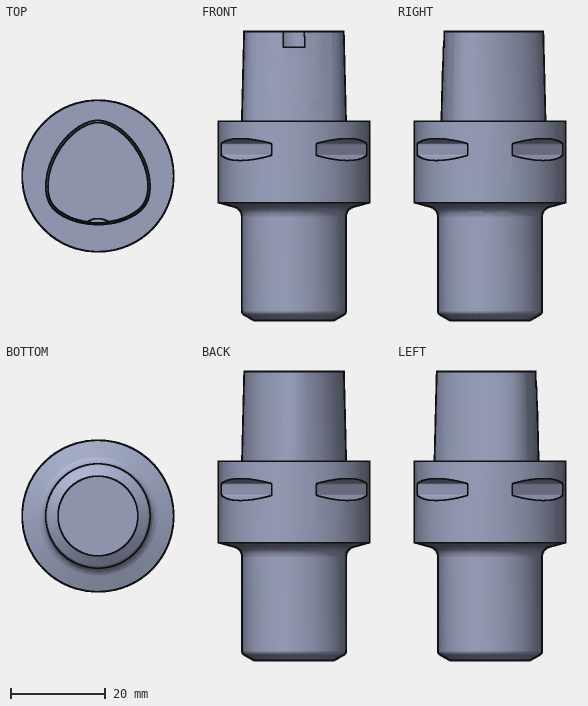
import cadquery as cq
import math

total_height = 61.0
flange_top = 42.1
flange_bottom = 24.9

flange_radius = 32.0 / 2
shank_radius = 22.0 / 2
neck_slope = 15.0
neck_fillet = 2.0
end_slope = 30.0
end_radius = 8.4
end_fillet = 1.0
edge_search_margin = 0.05

lobe_base_radius = shank_radius
taper_ratio = 20.0
lobe_height = 0.75
lobe_count = 3
lobe_half_angle = 24.0
points_per_stretch = 9

notch_height = 3.35
notch_radius = 3.85
notch_inner_y = -8.95

groove_count = 4
first_groove_angle = 45.0
groove_z = 36.08
groove_floor_distance = 14.15
groove_floor_height = 2.5
groove_fillet = 0.35
groove_wall_slope = 30.0


def make_body():
    neck_bottom = flange_bottom - (flange_radius - shank_radius) * math.tan(math.radians(neck_slope))
    end_cone_top = (shank_radius - end_radius) * math.tan(math.radians(end_slope))
    body = (
        cq.Workplane("XZ")
        .polyline([
            (0, 0),
            (end_radius, 0),
            (shank_radius, end_cone_top),
            (shank_radius, neck_bottom),
            (flange_radius, flange_bottom),
            (flange_radius, flange_top),
            (0, flange_top),
        ])
        .close()
        .revolve(360, (0, 0, 0), (0, 1, 0))
    )

    def circle_at(radius, height):
        return cq.selectors.BoxSelector(
            (-2 * radius, -2 * radius, height - edge_search_margin),
            (2 * radius, 2 * radius, height + edge_search_margin),
            boundingbox=True,
        )

    body = body.edges(circle_at(shank_radius, neck_bottom)).fillet(neck_fillet)
    return body.edges(circle_at(shank_radius, end_cone_top)).fillet(end_fillet)


def lobe_point(mean_radius, normal_angle, z):
    """Point of the constant-width curve whose outward normal has the given angle; one crest is on +Y."""
    phase = math.radians(lobe_count * (normal_angle - 90))
    support = mean_radius + lobe_height * math.cos(phase)
    support_rate = -lobe_count * lobe_height * math.sin(phase)
    angle = math.radians(normal_angle)
    return cq.Vector(
        support * math.cos(angle) - support_rate * math.sin(angle),
        support * math.sin(angle) + support_rate * math.cos(angle),
        z,
    )


def lobe_wire(mean_radius, z):
    def stretch(start, end):
        step = (end - start) / (points_per_stretch - 1)
        return cq.Edge.makeSpline(
            [lobe_point(mean_radius, start + i * step, z) for i in range(points_per_stretch)]
        )

    pitch = 360 / lobe_count
    edges = []
    for i in range(lobe_count):
        crest = 90 + i * pitch
        edges.append(stretch(crest - lobe_half_angle, crest + lobe_half_angle))
        edges.append(stretch(crest + lobe_half_angle, crest + pitch - lobe_half_angle))
    return cq.Wire.assembleEdges(edges)


def make_coupling():
    top_radius = lobe_base_radius - (total_height - flange_top) / taper_ratio / 2
    coupling = cq.Solid.makeLoft(
        [lobe_wire(lobe_base_radius, flange_top), lobe_wire(top_radius, total_height)], True
    )
    notch = (
        cq.Workplane("XY", origin=(0, notch_inner_y - notch_radius, total_height - notch_height))
        .circle(notch_radius)
        .extrude(notch_height)
    )
    return cq.Workplane(coupling).cut(notch)


def make_groove(angle):
    depth = flange_radius - groove_floor_distance
    floor_half = groove_floor_height / 2
    mouth_half = floor_half + depth * math.tan(math.radians(groove_wall_slope))
    return (
        cq.Workplane("XZ")
        .polyline([
            (groove_floor_distance, groove_z - floor_half),
            (flange_radius, groove_z - mouth_half),
            (flange_radius, groove_z + mouth_half),
            (groove_floor_distance, groove_z + floor_half),
        ])
        .close()
        .extrude(flange_radius, both=True)
        .faces("<X")
        .edges("|Y")
        .fillet(groove_fillet)
        .rotate((0, 0, 0), (0, 0, 1), angle)
    )


result = make_body().union(make_coupling())
for i in range(groove_count):
    result = result.cut(make_groove(first_groove_angle + i * 360 / groove_count))